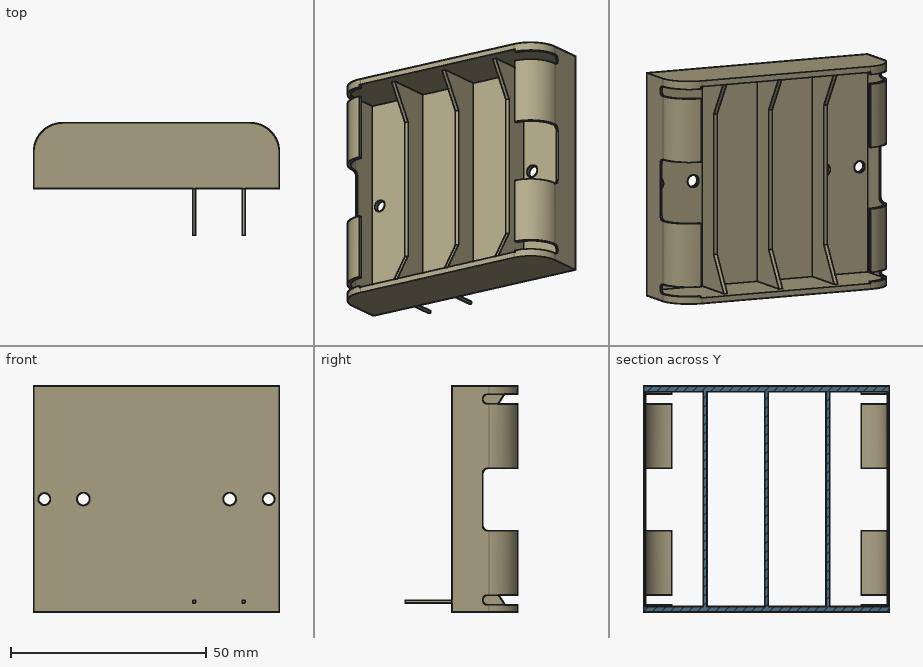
import cadquery as cq


width = 63.0
height = 58.0
overall_depth = 28.89
pin_length = 12.0
body_depth = overall_depth - pin_length
corner_radius = 7.5

cell_count = 4
side_wall = 0.5
lip_thickness = 1.0
lip_reach = 7.25
end_wall = 1.5
floor_thickness = 1.2
cell_pitch = width / cell_count

cutout_floor_y = 7.9
cutout_center_z = -0.12
finger_cutout_height = 16.0
finger_cutout_fillet = 1.4
end_slot_height = 2.5
end_slot_fillet = 1.24
end_slot_offset = 25.75

divider_thickness = 1.0
divider_low_y = cutout_floor_y
divider_high_y = 14.5
divider_end_gap = 0.5
divider_slope_run = 10.3

inner_hole_x = 18.75
inner_hole_diameter = 3.2
outer_hole_x = 28.75
outer_hole_diameter = 3.0

pin_diameter = 0.8
pin_xs = (9.65, 22.35)
pin_edge_gap = 2.7
pin_z = pin_edge_gap - height / 2


def box_between(x_span, y_start, y_end, z_span):
    """Box centred in X and Z that reaches from y_start to y_end."""
    box = cq.Workplane("XY").box(x_span, y_end - y_start, z_span, centered=(True, False, True))
    return box.translate((0, y_start, 0))


def rounded_block(x_span, y_start, y_end, z_span, radius):
    """Box between two Y positions with rounded +Y corners."""
    return box_between(x_span, y_start, y_end, z_span).edges("|Z and >Y").fillet(radius)


def cavity():
    """Hollow under the two curved side lips, open to +Y between the lip edges."""
    inner_width = width - 2 * side_wall
    inner_height = height - 2 * end_wall
    lip_y = body_depth - lip_thickness
    inner_radius = corner_radius - side_wall
    hollow = rounded_block(inner_width, floor_thickness, lip_y, inner_height, inner_radius)
    opening_width = width - 2 * lip_reach
    return hollow.union(box_between(opening_width, floor_thickness, body_depth, inner_height))


def divider(x):
    """Thin wall between two cells, low in the middle and sloping up toward both ends."""
    top = height / 2 - divider_end_gap
    low = top - divider_slope_run
    profile = [
        (0, -top),
        (divider_high_y, -top),
        (divider_low_y, -low),
        (divider_low_y, low),
        (divider_high_y, top),
        (0, top),
    ]
    plate = cq.Workplane("YZ").polyline(profile).close().extrude(divider_thickness / 2, both=True)
    return plate.translate((x, 0, 0))


def side_cutout(z_offset, z_span, floor_fillet):
    """Notch along X, open to +Y, with rounded edges at its floor."""
    notch = box_between(width, cutout_floor_y, body_depth, z_span)
    return notch.edges("|X and <Y").fillet(floor_fillet).translate((0, 0, cutout_center_z + z_offset))


def mounting_hole(x, diameter):
    """Round hole along Y through the floor."""
    hole = cq.Workplane("XZ").circle(diameter / 2).extrude(-floor_thickness)
    return hole.translate((x, 0, 0))


def contact_pin(x):
    """Round pin that starts in the floor and sticks out of the base."""
    pin = cq.Workplane("XZ", origin=(x, floor_thickness, pin_z)).circle(pin_diameter / 2)
    return pin.extrude(floor_thickness + pin_length)


result = rounded_block(width, 0, body_depth, height, corner_radius).cut(cavity())

side_wall_cutter = side_cutout(0, finger_cutout_height, finger_cutout_fillet)
for offset in (-end_slot_offset, end_slot_offset):
    side_wall_cutter = side_wall_cutter.union(side_cutout(offset, end_slot_height, end_slot_fillet))
result = result.cut(side_wall_cutter)

for index in range(1, cell_count):
    result = result.union(divider(index * cell_pitch - width / 2))

for side in (-1, 1):
    result = result.cut(mounting_hole(side * inner_hole_x, inner_hole_diameter))
    result = result.cut(mounting_hole(side * outer_hole_x, outer_hole_diameter))

for pin_x in pin_xs:
    result = result.union(contact_pin(pin_x))